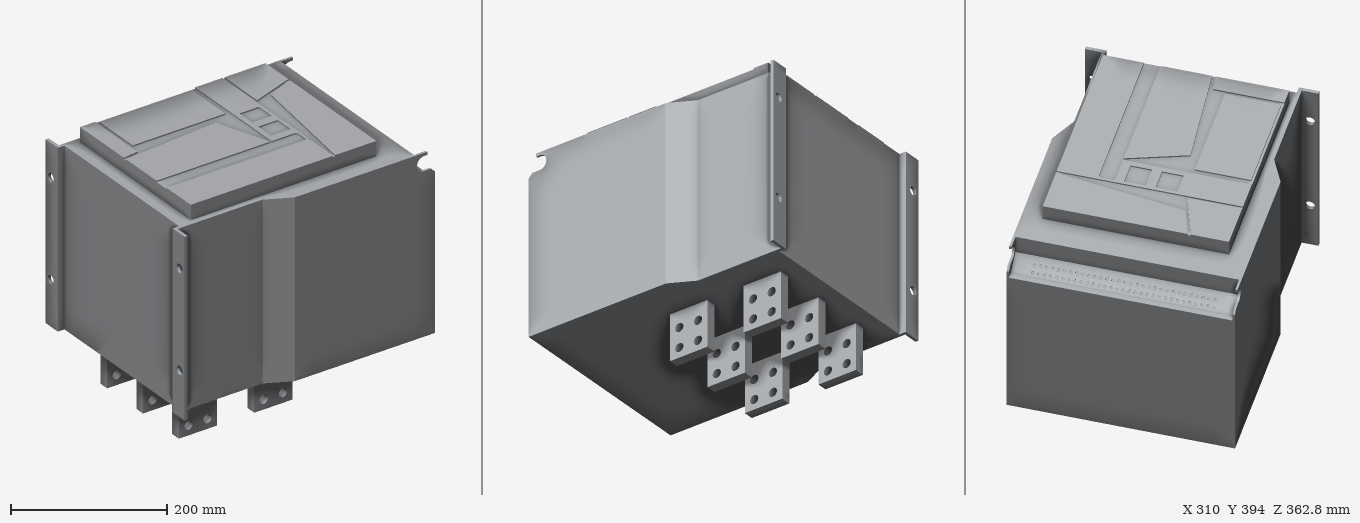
import cadquery as cq


DEPTH = 394.0
HOUSING_HEIGHT = 270.3
WIDE_HALF = 151.5
NARROW_HALF = 132.8
TAPER_FRONT_Y = 137.0
TAPER_BACK_Y = 174.5
FRONT_FACE_Y = 10.2
SIDE_SHEET = 3.0

FLANGE_SPAN = 310.0
FLANGE_SHEET = 4.7
FLANGE_HOLE_DIAMETER = 13.0
FLANGE_HOLE_X = 144.0
FLANGE_HOLE_HEIGHTS = (69.0, 218.5)

LIP_THICKNESS = 4.7
LIP_END_Y = 381.8
NOTCH_END_Y = 365.5
NOTCH_RADIUS = 11.0
NOTCH_CHAMFER = 6.5

LID_BACK_Y = 363.0
VENT_BOTTOM_Y = 384.5
VENT_DROP = 17.0
VENT_TOP_Z = HOUSING_HEIGHT - LIP_THICKNESS - 2 * NOTCH_RADIUS
VENT_BOTTOM_Z = VENT_TOP_Z - VENT_DROP

VENT_COLUMNS = 31
VENT_ROW_LENGTH = 240.5
VENT_DIAMETER = 5.0
VENT_DEPTH = 1.0
VENT_ROW_YS = (372.7, 380.5)

COVER_HEIGHT = 22.5
PAD_HEIGHT = 2.0
PAD_BASE_Z = HOUSING_HEIGHT + COVER_HEIGHT - PAD_HEIGHT
COVER_RIGHT = 123.7
COVER_LEFT = -COVER_RIGHT
COVER_FRONT = 31.5
COVER_BACK = 321.5

CHANNEL_X = (47.3, 69.5)
CHANNEL_BACK = 250.5
CHANNEL_CORNER = 2.0

BAND_Y = (211.5, 254.0)
WINDOW_WIDTH = 28.8
WINDOW_Y = (219.0, 249.5)
WINDOW_CENTER_XS = (-21.0, 21.0)

LABEL_X = (-120.5, -45.7)
LABEL_Y = (59.5, 204.0)

BACK_PADS_FRONT = 257.3
BACK_LEFT_PAD_CORNERS_X = (-50.5, -73.0)
BACK_RIGHT_PAD_X = -69.0
BACK_RIGHT_PAD_ELBOW = (-54.5, 280.5)
CORNER_PAD_BACK = 54.8
CORNER_PAD_CORNERS_X = (-25.5, -28.8)
MIDDLE_PAD_X = -21.3
MIDDLE_PAD_BACK = 209.0
MIDDLE_PAD_ELBOW = (-33.5, 180.5)

BAR_THICKNESS = 15.0
BAR_DEPTH = 60.0
BAR_LENGTH = 70.0
BAR_PITCH = 80.0
BAR_CENTER_YS = (68.0, 186.0)
BAR_HOLE_DIAMETER = 13.0
BAR_HOLE_PITCH = 30.0
BAR_HOLE_CENTER_Z = -40.0


def block(x_range, y_range, z_range):
    """Box given by its two limits along each axis."""
    corners = list(zip(x_range, y_range, z_range))
    sizes = [high - low for low, high in zip(*corners)]
    return cq.Workplane("XY").box(*sizes, centered=False).translate(corners[0])


def prism(points, bottom, height):
    """Vertical prism over a plan outline."""
    return cq.Workplane("XY").workplane(offset=bottom).polyline(points).close().extrude(height)


def make_housing():
    """Solid housing, narrower at the front than at the back."""
    right_side = [
        (NARROW_HALF, FRONT_FACE_Y),
        (NARROW_HALF, TAPER_FRONT_Y),
        (WIDE_HALF, TAPER_BACK_Y),
        (WIDE_HALF, DEPTH),
    ]
    left_side = [(-x, y) for x, y in reversed(right_side)]
    return prism(right_side + left_side, 0, HOUSING_HEIGHT)


def make_flange():
    """Right-hand L-shaped mounting flange with two screw holes."""
    leg_inner = NARROW_HALF - FLANGE_SHEET
    outer_edge = FLANGE_SPAN / 2
    outline = [
        (leg_inner, 0),
        (outer_edge, 0),
        (outer_edge, FLANGE_SHEET),
        (NARROW_HALF, FLANGE_SHEET),
        (NARROW_HALF, FRONT_FACE_Y),
        (leg_inner, FRONT_FACE_Y),
    ]
    holes = (
        cq.Workplane("XZ")
        .pushPoints([(FLANGE_HOLE_X, z) for z in FLANGE_HOLE_HEIGHTS])
        .circle(FLANGE_HOLE_DIAMETER / 2)
        .extrude(-FLANGE_SHEET)
    )
    return prism(outline, 0, HOUSING_HEIGHT).cut(holes)


def make_notch():
    """Round-ended notch through both side sheets, under a thin lip at the top."""
    top = HOUSING_HEIGHT - LIP_THICKNESS
    bottom = top - 2 * NOTCH_RADIUS
    arc_start_y = NOTCH_END_Y + NOTCH_RADIUS
    return (
        cq.Workplane("YZ")
        .moveTo(LIP_END_Y, HOUSING_HEIGHT)
        .lineTo(LIP_END_Y, top)
        .lineTo(arc_start_y, top)
        .threePointArc((NOTCH_END_Y, top - NOTCH_RADIUS), (arc_start_y, bottom))
        .lineTo(DEPTH - NOTCH_CHAMFER, bottom)
        .lineTo(DEPTH, bottom - NOTCH_CHAMFER)
        .lineTo(DEPTH, HOUSING_HEIGHT)
        .close()
        .extrude(WIDE_HALF, both=True)
    )


def make_back_step():
    """Space behind the lid and above the vent face, between the side sheets."""
    return (
        cq.Workplane("YZ")
        .polyline([
            (LID_BACK_Y, HOUSING_HEIGHT),
            (LID_BACK_Y, VENT_TOP_Z),
            (VENT_BOTTOM_Y, VENT_BOTTOM_Z),
            (DEPTH, VENT_BOTTOM_Z),
            (DEPTH, HOUSING_HEIGHT),
        ])
        .close()
        .extrude(WIDE_HALF - SIDE_SHEET, both=True)
    )


def make_vent_holes():
    """Rows of shallow holes square to the vent face, drilled from a plane that points into it."""
    run = VENT_BOTTOM_Y - LID_BACK_Y
    slope_length = (run**2 + VENT_DROP**2) ** 0.5
    face = cq.Plane(
        origin=(0, LID_BACK_Y, VENT_TOP_Z),
        xDir=(1, 0, 0),
        normal=(0, -VENT_DROP, -run),
    )
    pitch = VENT_ROW_LENGTH / (VENT_COLUMNS - 1)
    first_x = -VENT_ROW_LENGTH / 2
    centers = [
        (first_x + column * pitch, (LID_BACK_Y - y) * slope_length / run)
        for column in range(VENT_COLUMNS)
        for y in VENT_ROW_YS
    ]
    return cq.Workplane(face).pushPoints(centers).circle(VENT_DIAMETER / 2).extrude(VENT_DEPTH)


def pad_block(x_range, y_range):
    """Rectangular block filling the height of the pads."""
    return block(x_range, y_range, (PAD_BASE_Z, PAD_BASE_Z + PAD_HEIGHT))


def make_band_and_right_panel():
    """L-shaped raised area around the channel, with the windows sunk into it."""
    channel = pad_block(CHANNEL_X, (COVER_FRONT, CHANNEL_BACK)).edges("|Z and >Y").chamfer(CHANNEL_CORNER)
    band = pad_block((COVER_LEFT, COVER_RIGHT), BAND_Y)
    right_panel = pad_block((CHANNEL_X[1], COVER_RIGHT), (COVER_FRONT, BAND_Y[1]))
    raised = band.union(right_panel).cut(channel)
    for x in WINDOW_CENTER_XS:
        raised = raised.cut(pad_block((x - WINDOW_WIDTH / 2, x + WINDOW_WIDTH / 2), WINDOW_Y))
    return raised


def make_slanted_pads():
    """Four raised pads with slanted edges."""
    back_left_front_x, back_left_back_x = BACK_LEFT_PAD_CORNERS_X
    corner_front_x, corner_back_x = CORNER_PAD_CORNERS_X
    back_left = [
        (COVER_LEFT, COVER_BACK),
        (back_left_back_x, COVER_BACK),
        (back_left_front_x, BACK_PADS_FRONT),
        (COVER_LEFT, BACK_PADS_FRONT),
    ]
    back_right = [
        (BACK_RIGHT_PAD_X, COVER_BACK),
        (COVER_RIGHT, COVER_BACK),
        (COVER_RIGHT, BACK_PADS_FRONT),
        BACK_RIGHT_PAD_ELBOW,
    ]
    front_left_corner = [
        (COVER_LEFT, COVER_FRONT),
        (corner_front_x, COVER_FRONT),
        (corner_back_x, CORNER_PAD_BACK),
        (COVER_LEFT, CORNER_PAD_BACK),
    ]
    front_middle = [
        (MIDDLE_PAD_X, COVER_FRONT),
        (CHANNEL_X[0], COVER_FRONT),
        (CHANNEL_X[0], MIDDLE_PAD_BACK),
        MIDDLE_PAD_ELBOW,
    ]
    outlines = (back_left, back_right, front_left_corner, front_middle)
    return [prism(outline, PAD_BASE_Z, PAD_HEIGHT) for outline in outlines]


def make_cover():
    """Rectangular cover plate with its raised panels."""
    cover = block((COVER_LEFT, COVER_RIGHT), (COVER_FRONT, COVER_BACK), (HOUSING_HEIGHT, PAD_BASE_Z))
    for pad in [make_band_and_right_panel(), pad_block(LABEL_X, LABEL_Y), *make_slanted_pads()]:
        cover = cover.union(pad)
    return cover


def make_bars():
    """Two rows of three flat connection bars, each with four holes across its thickness."""
    bars = (
        cq.Workplane("XY")
        .pushPoints([(column * BAR_PITCH, y) for column in (-1, 0, 1) for y in BAR_CENTER_YS])
        .rect(BAR_THICKNESS, BAR_DEPTH)
        .extrude(-BAR_LENGTH)
    )
    half_pitch = BAR_HOLE_PITCH / 2
    hole_centers = [
        (y + dy, BAR_HOLE_CENTER_Z + dz)
        for y in BAR_CENTER_YS
        for dy in (-half_pitch, half_pitch)
        for dz in (-half_pitch, half_pitch)
    ]
    holes = (
        cq.Workplane("YZ")
        .pushPoints(hole_centers)
        .circle(BAR_HOLE_DIAMETER / 2)
        .extrude(WIDE_HALF, both=True)
    )
    return bars.cut(holes)


housing = make_housing().cut(make_notch()).cut(make_back_step()).cut(make_vent_holes())
right_flange = make_flange()
result = (
    housing.union(right_flange)
    .union(right_flange.mirror("YZ"))
    .union(make_cover())
    .union(make_bars())
)